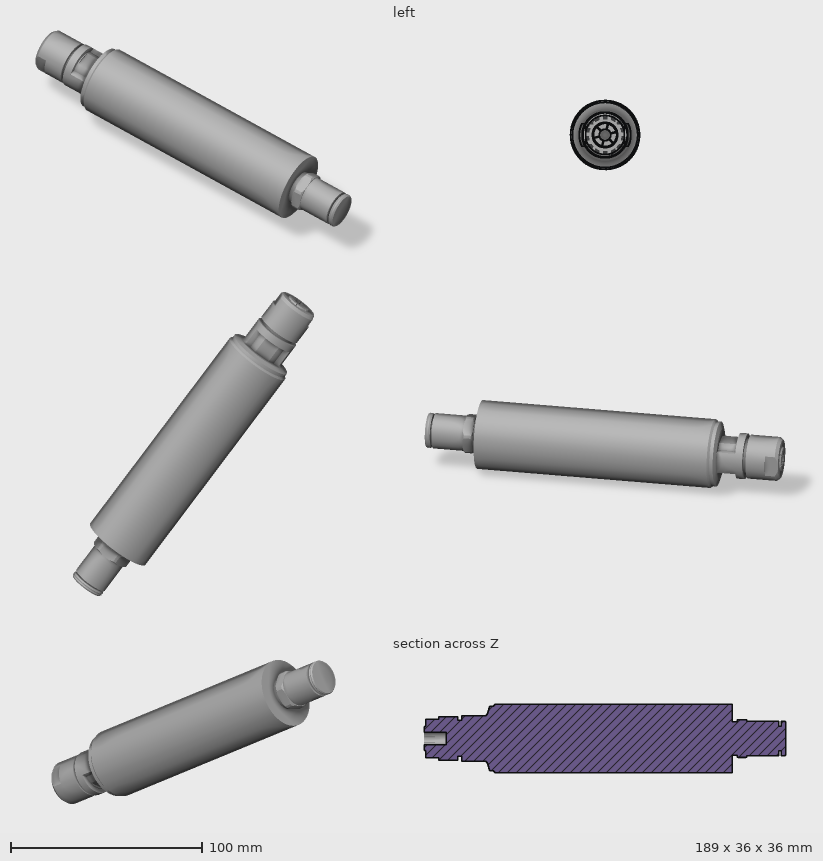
import cadquery as cq


nut_diameter = 23.0
nut_face_diameter = 20.4
nut_front_x = 0.8
nut_chamfer_end_x = 2.5
nut_end_x = 17.8
nut_flat_width = 20.2
nut_flat_end_x = 7.5
collet_face_diameter = 12.0
collet_diameter = 13.2
collet_bore_diameter = 6.0
collet_bore_depth = 11.3
collet_slot_width = 0.4
collet_slot_depth = 5.7
collet_slot_count = 6
collet_slot_angle = 45.0

neck_diameter = 19.0
sleeve_diameter = 24.0
sleeve_start_x = 19.5
sleeve_fillet_radius = 1.5
spanner_slot_start_x = 23.5
spanner_slot_height = 11.7
neck_flat_start_x = 24.0
neck_flat_width = 17.0

cap_face_x = 33.0
cap_face_diameter = 26.8
cap_diameter = 34.0
cap_cone_end_x = 34.2
cap_end_x = 36.0
body_diameter = 36.0
body_start_x = 37.2
body_end_x = 161.1

stub_diameter = 18.0
hex_start_x = 163.5
hex_end_x = 168.7
hex_width = 19.0
hex_corner_diameter = 21.2
hex_chamfer = 0.8
hex_angle = -15.0
fitting_diameter = 18.5
fitting_end_x = 185.3
groove_diameter = 13.2
ring_start_x = 186.3
ring_diameter = 17.5
ring_bevel_length = 0.8
ring_hollow_depth = 0.2
overall_length = 189.0


def disc(diameter, start_x, end_x):
    """Solid cylinder on the spindle axis."""
    return cq.Workplane("YZ", origin=(start_x, 0, 0)).circle(diameter / 2).extrude(end_x - start_x)


def cone(start_diameter, end_diameter, start_x, end_x):
    """Solid truncated cone on the spindle axis."""
    profile = [
        (start_x, 0),
        (start_x, start_diameter / 2),
        (end_x, end_diameter / 2),
        (end_x, 0),
    ]
    return cq.Workplane("XY").polyline(profile).close().revolve(360, (0, 0, 0), (1, 0, 0))


def slab(start_x, end_x, width_y, width_z):
    """Box centred on the spindle axis."""
    length = end_x - start_x
    return cq.Workplane("XY").box(length, width_y, width_z).translate((start_x + length / 2, 0, 0))


def make_nut():
    nut = cone(nut_face_diameter, nut_diameter, nut_front_x, nut_chamfer_end_x)
    nut = nut.union(disc(nut_diameter, nut_chamfer_end_x, nut_end_x))
    flatted_front = slab(nut_front_x, nut_flat_end_x, nut_flat_width, nut_diameter)
    round_rear = slab(nut_flat_end_x, nut_end_x, nut_diameter, nut_diameter)
    return nut.intersect(flatted_front.union(round_rear))


def cut_collet_face(part):
    """Cut the tool bore and the slots that divide the collet into jaws."""
    part = part.cut(disc(collet_bore_diameter, 0, collet_bore_depth))
    slot_length = collet_diameter / 2
    slot = slab(0, collet_slot_depth, slot_length, collet_slot_width)
    slot = slot.translate((0, slot_length / 2, 0))
    for index in range(collet_slot_count):
        angle = collet_slot_angle + index * 360 / collet_slot_count
        part = part.cut(slot.rotate((0, 0, 0), (1, 0, 0), angle))
    return part


def make_sleeve():
    """Sleeve with a concave flare at its rear and a spanner slot above and below."""
    radius = sleeve_diameter / 2
    flare_radius = radius + sleeve_fillet_radius
    flare_start_x = cap_face_x - sleeve_fillet_radius
    sleeve = (
        cq.Workplane("XY")
        .moveTo(sleeve_start_x, 0)
        .lineTo(sleeve_start_x, radius)
        .lineTo(flare_start_x, radius)
        .radiusArc((cap_face_x, flare_radius), -sleeve_fillet_radius)
        .lineTo(cap_face_x, 0)
        .close()
        .revolve(360, (0, 0, 0), (1, 0, 0))
    )
    full_front = slab(sleeve_start_x, spanner_slot_start_x, 2 * flare_radius, 2 * flare_radius)
    slotted_rear = slab(spanner_slot_start_x, cap_face_x, 2 * flare_radius, spanner_slot_height)
    return sleeve.intersect(full_front.union(slotted_rear))


def make_neck():
    """Round neck, flattened above and below inside the spanner slots."""
    neck = disc(neck_diameter, nut_end_x, cap_face_x)
    round_front = slab(nut_end_x, neck_flat_start_x, neck_diameter, neck_diameter)
    flatted_rear = slab(neck_flat_start_x, cap_face_x, neck_diameter, neck_flat_width)
    return neck.intersect(round_front.union(flatted_rear))


def make_body():
    body = cone(cap_face_diameter, cap_diameter, cap_face_x, cap_cone_end_x)
    body = body.union(disc(cap_diameter, cap_cone_end_x, cap_end_x))
    body = body.union(cone(cap_diameter, body_diameter, cap_end_x, body_start_x))
    return body.union(disc(body_diameter, body_start_x, body_end_x))


def make_hex():
    """Hexagon with rounded corners and chamfered ends."""
    length = hex_end_x - hex_start_x
    prism = (
        cq.Workplane("YZ", origin=(hex_start_x, 0, 0))
        .polygon(6, hex_width, circumscribed=True)
        .extrude(length)
        .rotate((0, 0, 0), (1, 0, 0), hex_angle)
    )
    corner_limit = disc(hex_corner_diameter, hex_start_x, hex_end_x).faces("<X or >X").chamfer(hex_chamfer)
    return prism.intersect(corner_limit)


def make_release_ring():
    """End ring bevelled on both sides, with a shallow hollow around its rim."""
    edge_radius = ring_diameter / 2
    rim_radius = fitting_diameter / 2
    rim_start_x = ring_start_x + ring_bevel_length
    rim_end_x = overall_length - ring_bevel_length
    hollow_point = ((rim_start_x + rim_end_x) / 2, rim_radius - ring_hollow_depth)
    return (
        cq.Workplane("XY")
        .moveTo(ring_start_x, 0)
        .lineTo(ring_start_x, edge_radius)
        .lineTo(rim_start_x, rim_radius)
        .threePointArc(hollow_point, (rim_end_x, rim_radius))
        .lineTo(overall_length, edge_radius)
        .lineTo(overall_length, 0)
        .close()
        .revolve(360, (0, 0, 0), (1, 0, 0))
    )


def make_fitting():
    fitting = disc(stub_diameter, body_end_x, hex_start_x)
    fitting = fitting.union(make_hex())
    fitting = fitting.union(disc(fitting_diameter, hex_end_x, fitting_end_x))
    fitting = fitting.union(disc(groove_diameter, fitting_end_x, ring_start_x))
    return fitting.union(make_release_ring())


collet_tip = cone(collet_face_diameter, collet_diameter, 0, nut_front_x)
front = cut_collet_face(collet_tip.union(make_nut()))
nose = make_neck().union(make_sleeve())
result = front.union(nose).union(make_body()).union(make_fitting())